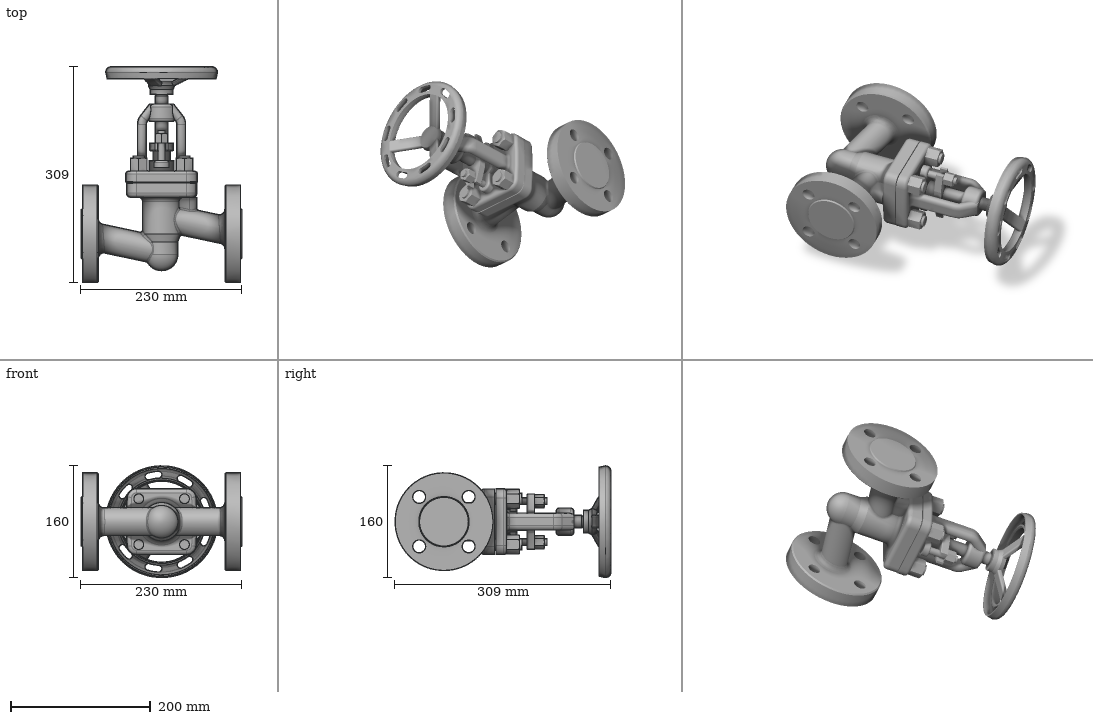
import cadquery as cq
import math


FACE_TO_FACE = 230.0
FLANGE_DIA = 140.0
FLANGE_BACK = 90.3
FLANGE_CHAMFER = 1.9
RAISED_FACE_HEIGHT = 2.0
RAISED_FACE_RADIUS = 36.0
RAISED_FACE_TIP_RADIUS = 34.8
FLANGE_HOLE_DIA = 18.0
FLANGE_BOLT_CIRCLE = 100.0
PIPE_RADIUS = 20.0
PIPE_SLOPE = 12.0
HUB_BLEND = 7.5

CHAMBER_RADIUS = 27.4
SUMP_RADIUS = 23.3
CONE_TOP = 0.0
CONE_BOTTOM = -11.4
SUMP_CENTRE = -29.5
NECK_BLEND = 6.0
PIPE_BLEND = 3.0

BODY_PLATE_BOTTOM = 52.2
BODY_PLATE_TOP = 72.6
BODY_PLATE_HALF_X = 50.5
BODY_PLATE_HALF_Z = 47.0
BODY_PLATE_ROUND = 6.0
BONNET_BOTTOM = 74.2
BONNET_TOP = 89.7
BONNET_HALF_X = 51.6
BONNET_HALF_Z = 47.2
BONNET_ROUND = 4.5
SIDE_BOW = 3.0
BODY_PLATE_CORNER_RADIUS = 13.0
BONNET_CORNER_RADIUS = 14.5
GASKET_RADIUS = 41.0

BLOCK_INNER_X = 20.0
BLOCK_HALF_Z = 11.0
BLOCK_BOTTOM = 24.0
BLOCK_CORNER_RADIUS = 10.5

STUD_OFFSET = 32.7
STUD_RADIUS = 8.0
STUD_TOP = 111.5
STUD_END_RADIUS = 7.0
STUD_END_RECESS = 0.3
NUT_ACROSS_FLATS = 24.0
NUT_TOP = 108.3

BOX_RADIUS = 18.0
BOX_TOP = 104.5
LUG_RADIUS = 10.6
LUG_BOTTOM = 94.5
LUG_FILLET = 2.5
GLAND_RADIUS = 12.5
GLAND_BOTTOM = 118.7
GLAND_TOP = 129.6
GLAND_ROUND = 1.5
GLAND_HALF_X = 17.0
GLAND_HALF_Z = 39.7
GLAND_SHOULDER_Z = 15.0
PRONG_HALF_X = 9.5
GLAND_STUD_RADIUS = 5.1
GLAND_SLOT_WIDTH = 12.0
GLAND_STUD_Z = 29.3
GLAND_STUD_TOP = 147.5
GLAND_NUT_TOP = 143.5
GLAND_NUT_FLATS = 17.0

LEG_CENTRE_X = 28.05
LEG_WIDTH_X = 12.9
LEG_WIDTH_Z = 24.4
LEG_BLEND = 4.0
ARM_TILT = 38.0
BEND_START = 156.5
BEND_RADIUS = 14.0
HEAD_RADIUS = 19.6
HEAD_BOTTOM = 160.3
HEAD_TOP = 185.7
HEAD_FILLET = 4.5

SPINDLE_RADIUS = 9.2
SPINDLE_TIP_RADIUS = 7.8
SPINDLE_TAPER = 2.5

WHEEL_TOP = 239.0
WHEEL_BOTTOM = 221.5
WHEEL_RADIUS = 80.0
WHEEL_LIP_RADIUS = 78.0
WHEEL_WIDEST = 230.7
WHEEL_ROUND = 8.3
RIM_INNER_RADIUS = 57.8
INNER_LIP_BOTTOM = 227.0
INNER_LIP_CHAMFER = 2.0
CHANNEL_INNER_RADIUS = 62.2
CHANNEL_OUTER_RADIUS = 76.0
CHANNEL_FLOOR = 234.0
CHANNEL_FILLET = 4.0
INNER_ROOT_FILLET = 3.0
SLOT_INNER_RADIUS = 62.7
SLOT_OUTER_RADIUS = 72.0
SLOT_COUNT = 9
SLOT_SPAN = 20.5
SLOT_FIRST_ANGLE = 20.0
SPOKE_COUNT = 3
SPOKE_WIDTH = 18.5
SPOKE_THICKNESS = 7.0
SPOKE_SLOPE = 26.6
SPOKE_INNER_RADIUS = 8.0
SPOKE_INNER_HEIGHT = 206.5
SPOKE_FILLET = 2.5
WHEEL_HUB_RADIUS = 16.5
WHEEL_HUB_BELLY_RADIUS = 19.0
WHEEL_HUB_BOTTOM = 199.3
WHEEL_HUB_COLLAR_TOP = 206.5
WHEEL_HUB_BELLY = 212.0
WHEEL_HUB_TOP = 218.5


def level(height):
    """Sketch plane square to the spindle axis; local x is X and local y is Z."""
    return cq.Workplane("XZ", origin=(0, height, 0))


def disc(radius, bottom, top, x=0.0, z=0.0):
    return level(bottom).center(x, z).circle(radius).extrude(bottom - top)


def hex_nut(across_flats, bottom, top, x, z):
    """Hexagonal nut with two corners pointing along Z and its outer end chamfered."""
    corner_radius = across_flats / math.sqrt(3)
    corners = []
    for i in range(6):
        angle = math.radians(90 + 60 * i)
        corners.append((corner_radius * math.cos(angle), corner_radius * math.sin(angle)))
    nut = level(bottom).center(x, z).polyline(corners).close().extrude(bottom - top)
    chamfer = corner_radius - across_flats / 2
    envelope = disc(corner_radius, bottom, top, x, z).faces(">Y").chamfer(chamfer / 2, chamfer)
    return nut.intersect(envelope)


def turned(profile):
    """Revolve a profile drawn in radius and height about the spindle axis."""
    return profile.close().revolve(360, (0, 0, 0), (0, 1, 0))


def bowed_plate(bottom, top, half_x, half_z, corner_radius):
    """Rectangular plate whose two X sides are slightly bowed outwards."""
    edge_x = half_x - SIDE_BOW
    return (
        level(bottom)
        .moveTo(-edge_x, -half_z)
        .lineTo(edge_x, -half_z)
        .threePointArc((half_x, 0), (edge_x, half_z))
        .lineTo(-edge_x, half_z)
        .threePointArc((-half_x, 0), (-edge_x, -half_z))
        .close()
        .extrude(bottom - top)
        .edges("|Y")
        .fillet(corner_radius)
    )


def make_chamber():
    profile = (
        cq.Workplane("XY")
        .moveTo(0, BODY_PLATE_BOTTOM)
        .lineTo(CHAMBER_RADIUS, BODY_PLATE_BOTTOM)
        .lineTo(CHAMBER_RADIUS, CONE_TOP)
        .lineTo(SUMP_RADIUS, CONE_BOTTOM)
        .lineTo(SUMP_RADIUS, SUMP_CENTRE)
        .radiusArc((0, SUMP_CENTRE - SUMP_RADIUS), SUMP_RADIUS)
    )
    return turned(profile)


def make_pipe(side):
    """Sloping pipe from mid-thickness of a flange to the spindle axis; side is -1 or +1."""
    slope = math.radians(PIPE_SLOPE)
    run = (FACE_TO_FACE / 2 + FLANGE_BACK) / 2
    start = (side * run, side * (FACE_TO_FACE / 2 - run) * math.tan(slope), 0)
    toward_axis = cq.Vector(-side * math.cos(slope), side * math.sin(slope), 0)
    plane = cq.Plane(origin=start, xDir=(0, 0, 1), normal=toward_axis.toTuple())
    return cq.Workplane(plane).circle(PIPE_RADIUS).extrude(run / math.cos(slope))


def make_pipe_flange(side):
    face = FACE_TO_FACE / 2
    rim_front = face - RAISED_FACE_HEIGHT
    radius = FLANGE_DIA / 2
    flange = (
        cq.Workplane("XY")
        .moveTo(FLANGE_BACK, 0)
        .lineTo(FLANGE_BACK, radius - FLANGE_CHAMFER)
        .lineTo(FLANGE_BACK + FLANGE_CHAMFER, radius)
        .lineTo(rim_front, radius)
        .lineTo(rim_front, RAISED_FACE_RADIUS)
        .lineTo(face, RAISED_FACE_TIP_RADIUS)
        .lineTo(face, 0)
        .close()
        .revolve(360, (0, 0, 0), (1, 0, 0))
    )
    holes = (
        cq.Workplane("YZ")
        .polarArray(FLANGE_BOLT_CIRCLE / 2, 45, 360, 4)
        .circle(FLANGE_HOLE_DIA / 2)
        .extrude(face)
    )
    flange = flange.cut(holes)
    return flange if side > 0 else flange.mirror("YZ")


def make_flanged_pipe(side):
    """Pipe and flange joined by a concave blend around the elliptical root of the pipe."""
    return make_pipe_flange(side).union(make_pipe(side)).edges("%ELLIPSE").fillet(HUB_BLEND)


def make_support_block():
    length = BODY_PLATE_HALF_X - BLOCK_INNER_X
    return (
        level(BLOCK_BOTTOM)
        .center(BLOCK_INNER_X + length / 2, 0)
        .rect(length, 2 * BLOCK_HALF_Z)
        .extrude(BLOCK_BOTTOM - BODY_PLATE_BOTTOM)
        .edges("|Y and >X")
        .fillet(BLOCK_CORNER_RADIUS)
    )


def make_neck_blend():
    """Concave ring that blends the chamber into the underside of the body flange."""
    profile = (
        cq.Workplane("XY")
        .moveTo(0, BODY_PLATE_BOTTOM)
        .lineTo(CHAMBER_RADIUS + NECK_BLEND, BODY_PLATE_BOTTOM)
        .radiusArc((CHAMBER_RADIUS, BODY_PLATE_BOTTOM - NECK_BLEND), -NECK_BLEND)
        .lineTo(0, BODY_PLATE_BOTTOM - NECK_BLEND)
    )
    return turned(profile)


def make_body():
    body = make_chamber()
    for side in (-1, 1):
        body = body.union(make_flanged_pipe(side))
    body = body.union(make_support_block())
    junctions = cq.selectors.BoxSelector(
        (-CHAMBER_RADIUS - PIPE_RADIUS, SUMP_CENTRE - SUMP_RADIUS, -CHAMBER_RADIUS),
        (BODY_PLATE_HALF_X + 1, BODY_PLATE_BOTTOM - NECK_BLEND, CHAMBER_RADIUS),
    )
    body = body.edges(junctions).edges("not(%CIRCLE or |Y)").fillet(PIPE_BLEND)
    plate = bowed_plate(
        BODY_PLATE_BOTTOM,
        BODY_PLATE_TOP,
        BODY_PLATE_HALF_X,
        BODY_PLATE_HALF_Z,
        BODY_PLATE_CORNER_RADIUS,
    )
    plate = plate.faces("<Y").edges().fillet(BODY_PLATE_ROUND)
    for x in (-STUD_OFFSET, STUD_OFFSET):
        for z in (-STUD_OFFSET, STUD_OFFSET):
            recess_top = BODY_PLATE_BOTTOM + STUD_END_RECESS
            plate = plate.cut(disc(STUD_END_RADIUS, BODY_PLATE_BOTTOM, recess_top, x, z))
    body = body.union(make_neck_blend())
    return body.union(plate)


def make_arm():
    """Leg on the +X side, rising from the bonnet and bending inwards to the yoke head."""
    tilt = math.radians(ARM_TILT)
    bend_centre_x = LEG_CENTRE_X - BEND_RADIUS

    def bend_point(angle):
        return (bend_centre_x + BEND_RADIUS * math.cos(angle), BEND_START + BEND_RADIUS * math.sin(angle))

    bend_end = bend_point(tilt)
    arm_end_x = HEAD_RADIUS / 2
    arm_end_y = bend_end[1] + (bend_end[0] - arm_end_x) / math.tan(tilt)
    path = (
        cq.Workplane("XY")
        .moveTo(LEG_CENTRE_X, BONNET_TOP)
        .lineTo(LEG_CENTRE_X, BEND_START)
        .threePointArc(bend_point(tilt / 2), bend_end)
        .lineTo(arm_end_x, arm_end_y)
    )
    section = level(BONNET_TOP).center(LEG_CENTRE_X, 0).slot2D(LEG_WIDTH_Z, LEG_WIDTH_X, 90)
    return section.sweep(path).intersect(disc(FLANGE_DIA / 2, BONNET_TOP, HEAD_TOP))


def make_yoke():
    arm = make_arm()
    head = disc(HEAD_RADIUS, HEAD_BOTTOM, HEAD_TOP)
    head = head.faces("<Y or >Y").edges().fillet(HEAD_FILLET)
    return head.union(arm).union(arm.mirror("YZ"))


def make_bonnet():
    plate = bowed_plate(BONNET_BOTTOM, BONNET_TOP, BONNET_HALF_X, BONNET_HALF_Z, BONNET_CORNER_RADIUS)
    plate = plate.faces(">Y").edges().fillet(BONNET_ROUND)
    bonnet = plate.union(disc(GASKET_RADIUS, BODY_PLATE_TOP, BONNET_BOTTOM))
    bonnet = bonnet.union(make_yoke())
    leg_feet = cq.selectors.BoxSelector(
        (-LEG_CENTRE_X - LEG_WIDTH_X, BONNET_TOP - 1, -LEG_WIDTH_Z),
        (LEG_CENTRE_X + LEG_WIDTH_X, BONNET_TOP + 1, LEG_WIDTH_Z),
    )
    bonnet = bonnet.edges(leg_feet).fillet(LEG_BLEND)
    bonnet = bonnet.union(disc(BOX_RADIUS, BONNET_TOP, BOX_TOP))
    for z in (-GLAND_STUD_Z, GLAND_STUD_Z):
        lug = level(LUG_BOTTOM).center(0, z / 2).rect(2 * LUG_RADIUS, abs(z)).extrude(LUG_BOTTOM - BOX_TOP)
        lug = lug.union(disc(LUG_RADIUS, LUG_BOTTOM, BOX_TOP, 0, z))
        lug = lug.faces(">Y").edges().fillet(LUG_FILLET)
        bonnet = bonnet.union(lug)
    return bonnet


def make_bonnet_fasteners():
    fasteners = cq.Workplane("XY")
    for x in (-STUD_OFFSET, STUD_OFFSET):
        for z in (-STUD_OFFSET, STUD_OFFSET):
            stud = disc(STUD_RADIUS, BODY_PLATE_TOP - STUD_RADIUS, STUD_TOP, x, z)
            nut = hex_nut(NUT_ACROSS_FLATS, BONNET_TOP, NUT_TOP, x, z)
            fasteners = fasteners.add(stud.union(nut))
    return fasteners.combine()


def make_gland():
    """Gland follower with two slotted prongs, held down by a stud and nut on each side."""
    outline = [
        (GLAND_HALF_X, GLAND_SHOULDER_Z),
        (PRONG_HALF_X, GLAND_HALF_Z),
        (-PRONG_HALF_X, GLAND_HALF_Z),
        (-GLAND_HALF_X, GLAND_SHOULDER_Z),
        (-GLAND_HALF_X, -GLAND_SHOULDER_Z),
        (-PRONG_HALF_X, -GLAND_HALF_Z),
        (PRONG_HALF_X, -GLAND_HALF_Z),
        (GLAND_HALF_X, -GLAND_SHOULDER_Z),
    ]
    gland = level(GLAND_BOTTOM).polyline(outline).close().extrude(GLAND_BOTTOM - GLAND_TOP)
    gland = gland.faces("<Y").edges().fillet(GLAND_ROUND)
    slot_length = GLAND_HALF_Z - GLAND_STUD_Z
    for side in (-1, 1):
        slot = (
            level(GLAND_BOTTOM)
            .center(0, side * (GLAND_STUD_Z + slot_length / 2))
            .rect(GLAND_SLOT_WIDTH, slot_length)
            .extrude(GLAND_BOTTOM - GLAND_TOP)
        )
        gland = gland.cut(slot)
    gland = gland.union(disc(GLAND_RADIUS, BOX_TOP, GLAND_BOTTOM))
    for z in (-GLAND_STUD_Z, GLAND_STUD_Z):
        gland = gland.union(disc(GLAND_STUD_RADIUS, LUG_BOTTOM, GLAND_STUD_TOP, 0, z))
        gland = gland.union(hex_nut(GLAND_NUT_FLATS, GLAND_TOP, GLAND_NUT_TOP, 0, z))
    return gland


def make_spindle():
    taper_start = WHEEL_HUB_BOTTOM - SPINDLE_TAPER
    profile = (
        cq.Workplane("XY")
        .moveTo(0, GLAND_BOTTOM)
        .lineTo(SPINDLE_RADIUS, GLAND_BOTTOM)
        .lineTo(SPINDLE_RADIUS, taper_start)
        .lineTo(SPINDLE_TIP_RADIUS, WHEEL_HUB_BOTTOM)
        .lineTo(0, WHEEL_HUB_BOTTOM)
    )
    return turned(profile)


def make_wheel_rim():
    """Channel-shaped rim, open toward the valve, with arc slots through its floor."""
    round_end_radius = WHEEL_RADIUS - WHEEL_ROUND
    profile = (
        cq.Workplane("XY")
        .moveTo(RIM_INNER_RADIUS, INNER_LIP_BOTTOM + INNER_LIP_CHAMFER)
        .lineTo(RIM_INNER_RADIUS + INNER_LIP_CHAMFER, INNER_LIP_BOTTOM)
        .lineTo(CHANNEL_INNER_RADIUS, INNER_LIP_BOTTOM)
        .lineTo(CHANNEL_INNER_RADIUS, CHANNEL_FLOOR - INNER_ROOT_FILLET)
        .radiusArc((CHANNEL_INNER_RADIUS + INNER_ROOT_FILLET, CHANNEL_FLOOR), INNER_ROOT_FILLET)
        .lineTo(CHANNEL_OUTER_RADIUS - CHANNEL_FILLET, CHANNEL_FLOOR)
        .radiusArc((CHANNEL_OUTER_RADIUS, CHANNEL_FLOOR - CHANNEL_FILLET), CHANNEL_FILLET)
        .lineTo(CHANNEL_OUTER_RADIUS, WHEEL_BOTTOM)
        .lineTo(WHEEL_LIP_RADIUS, WHEEL_BOTTOM)
        .lineTo(WHEEL_RADIUS, WHEEL_WIDEST)
        .radiusArc((round_end_radius, WHEEL_TOP), -WHEEL_ROUND)
        .lineTo(RIM_INNER_RADIUS, WHEEL_TOP)
    )
    rim = turned(profile)
    for i in range(SLOT_COUNT):
        rim = rim.cut(make_rim_slot(SLOT_FIRST_ANGLE + i * 360 / SLOT_COUNT))
    return rim


def make_rim_slot(angle):
    """Curved slot with round ends, centred at the given angle from +X."""
    mid_radius = (SLOT_INNER_RADIUS + SLOT_OUTER_RADIUS) / 2
    end_radius = (SLOT_OUTER_RADIUS - SLOT_INNER_RADIUS) / 2
    end_angle = SLOT_SPAN / 2 - math.degrees(end_radius / mid_radius)
    floor = CHANNEL_FLOOR - CHANNEL_FILLET
    depth = WHEEL_TOP - floor

    def polar(radius, degrees):
        turn = math.radians(angle + degrees)
        return (radius * math.cos(turn), radius * math.sin(turn))

    tip_angle = SLOT_SPAN / 2
    return (
        level(floor)
        .moveTo(*polar(SLOT_INNER_RADIUS, -end_angle))
        .threePointArc(polar(SLOT_INNER_RADIUS, 0), polar(SLOT_INNER_RADIUS, end_angle))
        .threePointArc(polar(mid_radius, tip_angle), polar(SLOT_OUTER_RADIUS, end_angle))
        .threePointArc(polar(SLOT_OUTER_RADIUS, 0), polar(SLOT_OUTER_RADIUS, -end_angle))
        .threePointArc(polar(mid_radius, -tip_angle), polar(SLOT_INNER_RADIUS, -end_angle))
        .close()
        .extrude(-depth)
    )


def make_spoke():
    """Dished spoke along +X, rising from the hub to the inner wall of the rim."""
    outer_radius = (RIM_INNER_RADIUS + CHANNEL_INNER_RADIUS) / 2
    slope = math.radians(SPOKE_SLOPE)
    rise = (outer_radius - SPOKE_INNER_RADIUS) * math.tan(slope)
    upright = SPOKE_THICKNESS / math.cos(slope)
    outer_height = SPOKE_INNER_HEIGHT + rise
    return (
        cq.Workplane("XY")
        .moveTo(SPOKE_INNER_RADIUS, SPOKE_INNER_HEIGHT)
        .lineTo(outer_radius, outer_height)
        .lineTo(outer_radius, outer_height + upright)
        .lineTo(SPOKE_INNER_RADIUS, SPOKE_INNER_HEIGHT + upright)
        .close()
        .extrude(SPOKE_WIDTH / 2, both=True)
        .edges("not(|Z or |Y)")
        .fillet(SPOKE_FILLET)
        .intersect(disc(WHEEL_RADIUS, WHEEL_HUB_BOTTOM, WHEEL_TOP))
    )


def make_handwheel():
    hub_profile = (
        cq.Workplane("XY")
        .moveTo(0, WHEEL_HUB_BOTTOM)
        .lineTo(WHEEL_HUB_RADIUS, WHEEL_HUB_BOTTOM)
        .lineTo(WHEEL_HUB_RADIUS, WHEEL_HUB_COLLAR_TOP)
        .lineTo(WHEEL_HUB_BELLY_RADIUS, WHEEL_HUB_BELLY)
        .lineTo(WHEEL_HUB_RADIUS, WHEEL_HUB_TOP)
        .lineTo(0, WHEEL_HUB_TOP)
    )
    wheel = make_wheel_rim().union(turned(hub_profile))
    for i in range(SPOKE_COUNT):
        wheel = wheel.union(make_spoke().rotate((0, 0, 0), (0, 1, 0), i * 360 / SPOKE_COUNT))
    return wheel


result = make_body()
for component in (
    make_bonnet(),
    make_bonnet_fasteners(),
    make_gland(),
    make_spindle(),
    make_handwheel(),
):
    result = result.union(component)